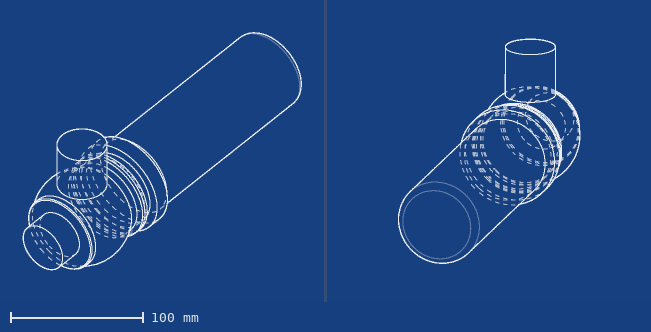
import cadquery as cq
import math

TOTAL_LENGTH = 276.5

TUBE_RADIUS = 64.0 / 2
DOME_RISE = 1.7
DOME_EDGE_FILLET = 5.5

COLLAR_RADIUS = 75.0 / 2
COLLAR_WIDTH = 12.5
COLLAR_CONE_LENGTH = 6.0

NECK_RADIUS = 61.0 / 2
JOINT_Y = 80.0
NECK_END_OFFSET = 11.0
FLANGE_RADIUS = 69.0 / 2
FLANGE_RIM_WIDTH = 2.8
FLANGE_TAPER_LENGTH = 2.0

BALL_RADIUS = COLLAR_RADIUS
BALL_HALF_WIDTH = math.sqrt(BALL_RADIUS**2 - NECK_RADIUS**2)
BALL_Y = JOINT_Y - NECK_END_OFFSET - BALL_HALF_WIDTH
BAND_START_Y = 20.2
BAND_CHAMFER = 0.8

END_PORT_RADIUS = 38.2 / 2
SIDE_PORT_RADIUS = 38.0 / 2
SIDE_PORT_TOP_Z = 107.5 - BALL_RADIUS


def revolve_about_y(profile):
    return profile.close().revolve(360, (0, 0, 0), (0, 1, 0))


def flanged_neck(direction):
    """Neck and flange running from the joint face along +Y (1) or -Y (-1)."""
    rim_y = JOINT_Y + direction * FLANGE_RIM_WIDTH
    taper_y = rim_y + direction * FLANGE_TAPER_LENGTH
    neck_end_y = JOINT_Y + direction * NECK_END_OFFSET
    profile = (
        cq.Workplane("XY")
        .moveTo(0, JOINT_Y)
        .lineTo(FLANGE_RADIUS, JOINT_Y)
        .lineTo(FLANGE_RADIUS, rim_y)
        .lineTo(NECK_RADIUS, taper_y)
        .lineTo(NECK_RADIUS, neck_end_y)
        .lineTo(0, neck_end_y)
    )
    return revolve_about_y(profile)


def make_canister():
    """Domed tube, collar, neck and rear flange."""
    collar_y = JOINT_Y + NECK_END_OFFSET
    cone_y = collar_y + COLLAR_WIDTH
    tube_y = cone_y + COLLAR_CONE_LENGTH
    dome_edge_y = TOTAL_LENGTH - DOME_RISE

    dome_radius = (TUBE_RADIUS**2 + DOME_RISE**2) / (2 * DOME_RISE)
    mid_x = TUBE_RADIUS / 2
    mid_y = TOTAL_LENGTH - dome_radius + math.sqrt(dome_radius**2 - mid_x**2)

    profile = (
        cq.Workplane("XY")
        .moveTo(0, collar_y)
        .lineTo(COLLAR_RADIUS, collar_y)
        .lineTo(COLLAR_RADIUS, cone_y)
        .lineTo(TUBE_RADIUS, tube_y)
        .lineTo(TUBE_RADIUS, dome_edge_y)
        .threePointArc((mid_x, mid_y), (0, TOTAL_LENGTH))
    )
    tube = revolve_about_y(profile)
    dome_rim = cq.selectors.NearestToPointSelector((0, dome_edge_y, 0))
    tube = tube.edges(dome_rim).fillet(DOME_EDGE_FILLET)
    return tube.union(flanged_neck(1))


def make_valve():
    """Front flange, neck, ball, band and the two ports."""
    ball_front_y = BALL_Y - BALL_HALF_WIDTH
    ball_rear_y = BALL_Y + BALL_HALF_WIDTH
    profile = (
        cq.Workplane("XY")
        .lineTo(END_PORT_RADIUS, 0)
        .lineTo(END_PORT_RADIUS, BAND_START_Y)
        .lineTo(NECK_RADIUS - BAND_CHAMFER, BAND_START_Y)
        .lineTo(NECK_RADIUS, BAND_START_Y + BAND_CHAMFER)
        .lineTo(NECK_RADIUS, ball_front_y)
        .threePointArc((BALL_RADIUS, BALL_Y), (NECK_RADIUS, ball_rear_y))
        .lineTo(0, ball_rear_y)
    )
    side_port = (
        cq.Workplane("XY")
        .center(0, BALL_Y)
        .circle(SIDE_PORT_RADIUS)
        .extrude(SIDE_PORT_TOP_Z)
    )
    return revolve_about_y(profile).union(flanged_neck(-1)).union(side_port)


canister = make_canister()
valve = make_valve()

result = cq.Compound.makeCompound([canister.val(), valve.val()])